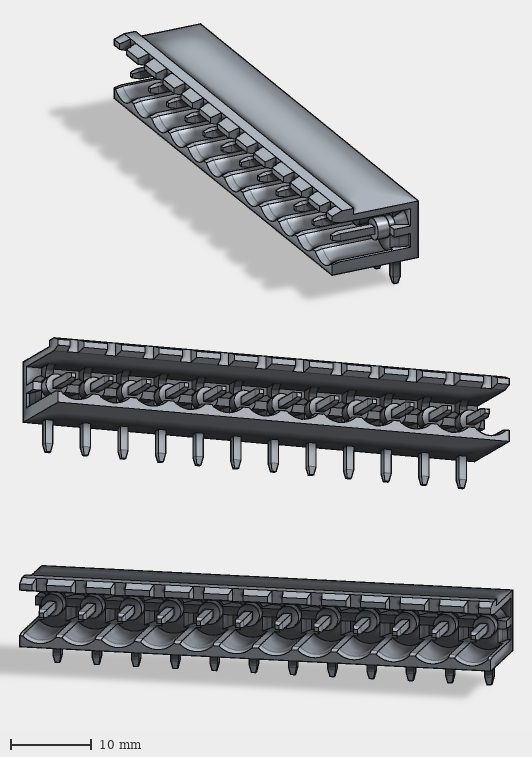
import cadquery as cq


pin_count = 12
pitch = 5.0
length = pin_count * pitch

depth = 12.0
back_wall = 1.1
floor_top = 1.62
floor_chamfer_length = 1.0
floor_chamfer_drop = 0.2
ceiling = 6.85
roof_top = 7.7
lip_top = 8.5
lip_start = 9.0
tip_start = 10.6
tip_bottom = 7.25
tip_top = 8.0

notch_half_back = 0.7
notch_half_front = 0.93

axis_height = 3.9
web_bottom = 3.45
web_top = 4.5
web_front = 3.4
rib_width = 1.0
rib_front = 2.57
rib_fillet = 1.0
cone_base_radius = 2.05
boss_radius = 1.35
disc_radius = 1.4
disc_front = 5.05
pier_middle = 2.35
pier_half_back = 2.1
pier_half_middle = 1.76
pier_half_front = 1.4

scoop_center_height = 3.55
scoop_radius = 2.8
scoop_mouth_radius = scoop_radius + floor_chamfer_drop

pin_size = 1.0
pin_tip_size = 0.55
pin_taper = 1.0
pin_front = 10.85
tail_depth = 2.0
tail_length = 4.0


def y_at(depth_from_back):
    """Y of a point at the given depth from the back face."""
    return depth / 2 - depth_from_back


def section_prism(points, x_start, width):
    """Extrude a closed (depth, height) outline along +X."""
    outline = [(y_at(d), z) for d, z in points]
    return cq.Workplane("YZ").polyline(outline).close().extrude(width).translate((x_start, 0, 0))


def plan_prism(points, x, bottom, top):
    """Extrude a closed outline of (offset from x, depth) points upwards from bottom to top."""
    outline = [(x + offset, y_at(d)) for offset, d in points]
    return cq.Workplane("XY").workplane(offset=bottom).polyline(outline).close().extrude(top - bottom)


def facing_plane(x, depth_from_back, height):
    """Work plane facing the open side, with its origin at the given point."""
    return cq.Workplane(cq.Plane((x, y_at(depth_from_back), height), (1, 0, 0), (0, -1, 0)))


def frustum(x, height, start, end, start_radius, end_radius):
    """Cone frustum along the depth direction."""
    cone = cq.Solid.makeCone(
        start_radius,
        end_radius,
        end - start,
        cq.Vector(x, y_at(start), height),
        cq.Vector(0, -1, 0),
    )
    return cq.Workplane(cone)


def cell_block(x, bottom, top):
    """Block that fills the cell of one pin between two heights."""
    block = cq.Workplane("XY").box(pitch, depth, top - bottom, centered=(True, True, False))
    return block.translate((x, 0, bottom))


def make_housing():
    """C-shaped section with a raised, tapered roof lip and a web on the back wall."""
    outline = [
        (0, 0),
        (depth, 0),
        (depth, floor_top - floor_chamfer_drop),
        (depth - floor_chamfer_length, floor_top),
        (back_wall, floor_top),
        (back_wall, web_bottom),
        (web_front, web_bottom),
        (web_front, web_top),
        (back_wall, web_top),
        (back_wall, ceiling),
        (tip_start, ceiling),
        (depth, tip_bottom),
        (depth, tip_top),
        (tip_start, lip_top),
        (lip_start, lip_top),
        (lip_start, roof_top),
        (0, roof_top),
    ]
    return section_prism(outline, -length / 2, length)


def make_scoop(x):
    """Cylindrical floor trough that widens to a conical mouth."""
    mouth_start = depth - floor_chamfer_length
    trough = facing_plane(x, web_front, scoop_center_height).circle(scoop_radius)
    trough = trough.extrude(mouth_start - web_front)
    mouth = frustum(x, scoop_center_height, mouth_start, depth, scoop_radius, scoop_mouth_radius)
    return trough.union(mouth).intersect(cell_block(x, 0, scoop_center_height))


def make_notch(x):
    """Gap between two teeth of the lip, wider at the front."""
    outline = [
        (-notch_half_back, tip_start),
        (notch_half_back, tip_start),
        (notch_half_front, depth),
        (-notch_half_front, depth),
    ]
    return plan_prism(outline, x, ceiling, lip_top)


def make_rib(x):
    """Upright rib between the pin axis and the ceiling, blended into the ceiling by a fillet."""
    rib = (
        cq.Workplane("YZ")
        .moveTo(y_at(back_wall), axis_height)
        .lineTo(y_at(rib_front), axis_height)
        .lineTo(y_at(rib_front), ceiling - rib_fillet)
        .radiusArc((y_at(rib_front + rib_fillet), ceiling), -rib_fillet)
        .lineTo(y_at(back_wall), ceiling)
        .close()
        .extrude(rib_width / 2, both=True)
    )
    return rib.translate((x, 0, 0))


def make_boss(x):
    """Round pin holder: a cone on the back wall, a short neck and a disc."""
    cone = frustum(x, axis_height, back_wall, rib_front, cone_base_radius, boss_radius)
    neck = facing_plane(x, rib_front, axis_height).circle(boss_radius).extrude(web_front - rib_front)
    disc = facing_plane(x, web_front, axis_height).circle(disc_radius).extrude(disc_front - web_front)
    return cone.union(neck).intersect(cell_block(x, web_bottom, ceiling)).union(disc)


def make_pier(x):
    """Tapered block that carries the boss from the floor."""
    outline = [
        (-pier_half_back, back_wall),
        (-pier_half_middle, pier_middle),
        (-pier_half_front, web_front),
        (pier_half_front, web_front),
        (pier_half_middle, pier_middle),
        (pier_half_back, back_wall),
    ]
    return plan_prism(outline, x, floor_top, web_bottom)


def tapered_pin(base, pin_length):
    """Square pin rising from a work plane, with a pyramidal tip."""
    shank_length = pin_length - pin_taper
    shank = base.rect(pin_size, pin_size).extrude(shank_length)
    tip = (
        base.workplane(offset=shank_length)
        .rect(pin_size, pin_size)
        .workplane(offset=pin_taper)
        .rect(pin_tip_size, pin_tip_size)
        .loft()
    )
    return shank.union(tip)


def make_pin(x):
    """Contact pin towards the opening and solder tail below the floor."""
    contact_base = facing_plane(x, web_front, axis_height)
    contact = tapered_pin(contact_base, pin_front - web_front)
    tail_base = cq.Workplane(cq.Plane((x, y_at(tail_depth), floor_top), (1, 0, 0), (0, 0, -1)))
    tail = tapered_pin(tail_base, floor_top + tail_length)
    return contact.union(tail)


result = make_housing()
for index in range(pin_count):
    pin_x = (index + 0.5) * pitch - length / 2
    result = result.cut(make_scoop(pin_x)).cut(make_notch(pin_x))
    for feature in (make_rib, make_boss, make_pier, make_pin):
        result = result.union(feature(pin_x))